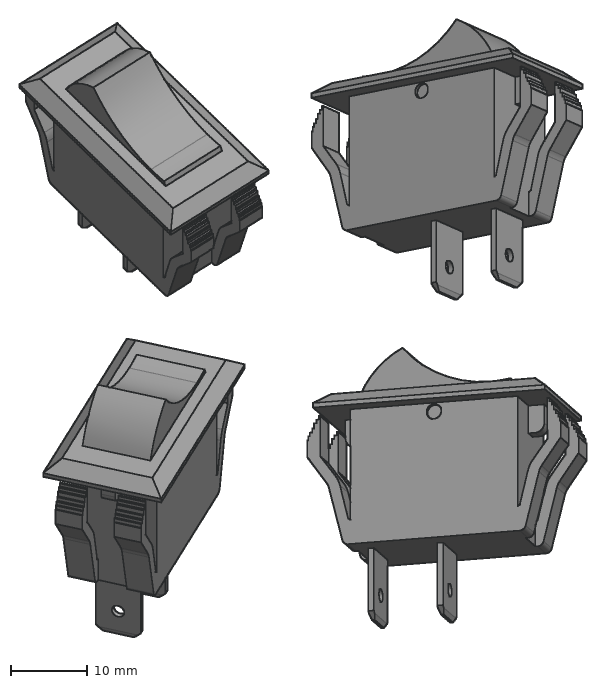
import cadquery as cq

total_height = 36.0
peak_z = 8.17
overlap = 0.35

bezel_length = 31.8
bezel_depth = 16.52
bezel_height = 2.2
bezel_lip = 0.6
bezel_inset = 1.95

housing_length = 22.93
housing_depth = 12.0
housing_height = 18.32
pivot_diameter = 2.0
pivot_z = -1.2
pivot_recess = 0.5

ear_span = 27.25
ear_width = 1.98
ear_height = 3.75
ear_radius = 1.22

rocker_width = 9.5
rocker_half_length = 10.47
peak_x = -4.68
valley_x = 7.3
valley_z = 2.65
rocker_tip = (10.1, 2.88)
back_radius = 12.25

clip_span = 34.73
clip_width = 3.78
grip_thickness = 1.8
grip_bottom_z = -6.1
outer_bend = (14.5, -10.08)
inner_bend = (13.05, -9.5)
outer_foot = (12.4, -housing_height)
foot_radius = 0.83
inner_root = (11.77, -14.8)
inner_root_wall_z = -14.97
outer_bend_radius = 2.25
inner_bend_radius = 3.8
lowest_tooth_z = -3.78
grip_teeth = [(0.125, 0.58), (0.2, 0.45), (0.32, 0.55), (0.25, 0.7), (0.32, 0.45), (0.32, 0.45)]

blade_positions = (-9.45, 0.0)
blade_thickness = 0.8
blade_width = 6.3
blade_corner = 1.0
blade_bevel_height = 0.72
blade_bevel_inset = 0.2
blade_hole_diameter = 1.73
blade_hole_z = -23.97


def box_between(length, depth, z_low, z_high):
    """Box centred on X and Y between two heights."""
    return (
        cq.Workplane("XY", origin=(0, 0, z_low))
        .rect(length, depth)
        .extrude(z_high - z_low)
    )


def make_bezel():
    lip = box_between(bezel_length, bezel_depth, 0, bezel_lip)
    bevel = (
        cq.Workplane("XY", origin=(0, 0, bezel_lip))
        .rect(bezel_length, bezel_depth)
        .workplane(offset=bezel_height - bezel_lip)
        .rect(bezel_length - 2 * bezel_inset, bezel_depth - 2 * bezel_inset)
        .loft(ruled=True)
    )
    return lip.union(bevel)


def make_housing():
    housing = box_between(housing_length, housing_depth, -housing_height, overlap)
    front_recess = (
        cq.Workplane("XZ", origin=(0, -housing_depth / 2, pivot_z))
        .circle(pivot_diameter / 2)
        .extrude(-pivot_recess)
    )
    return housing.cut(front_recess).cut(front_recess.mirror("XZ"))


def make_ears():
    """One bar through the housing forms the ears at both ends."""
    bar = box_between(ear_span, ear_width, -ear_height, overlap)
    return bar.edges("|Y and <Z").fillet(ear_radius)


def make_rocker():
    """Rocker with a convex back and a thumb dish that is level at its valley."""
    dish_run = valley_x - peak_x
    dish_fall = peak_z - valley_z
    dish_radius = (dish_run**2 + dish_fall**2) / (2 * dish_fall)
    return (
        cq.Workplane("XZ")
        .moveTo(-rocker_half_length, bezel_height - overlap)
        .lineTo(-rocker_half_length, bezel_height)
        .radiusArc((peak_x, peak_z), back_radius)
        .radiusArc((valley_x, valley_z), -dish_radius)
        .tangentArcPoint(rocker_tip, relative=False)
        .lineTo(rocker_half_length, bezel_height)
        .lineTo(rocker_half_length, bezel_height - overlap)
        .close()
        .extrude(rocker_width / 2, both=True)
    )


def make_clip():
    """Springy clip on the +X side, centred on Y = 0."""
    wall_x = housing_length / 2
    outer_x = clip_span / 2
    inner_x = outer_x - grip_thickness
    profile = (
        cq.Workplane("XZ")
        .moveTo(wall_x - overlap, -housing_height)
        .lineTo(*outer_foot)
        .lineTo(*outer_bend)
        .lineTo(outer_x, grip_bottom_z)
    )
    x = outer_x
    z = lowest_tooth_z
    profile = profile.lineTo(x, z)
    for step, rise in grip_teeth:
        x -= step
        profile = profile.lineTo(x, z)
        z += rise
        profile = profile.lineTo(x, z)
    clip = (
        profile.lineTo(inner_x, z)
        .lineTo(inner_x, grip_bottom_z)
        .lineTo(*inner_bend)
        .lineTo(*inner_root)
        .lineTo(wall_x, inner_root_wall_z)
        .lineTo(wall_x - overlap, inner_root_wall_z)
        .close()
        .extrude(clip_width / 2, both=True)
    )
    rounded_corners = (
        (outer_foot, foot_radius),
        (outer_bend, outer_bend_radius),
        (inner_bend, inner_bend_radius),
    )
    for (corner_x, corner_z), radius in rounded_corners:
        corner_edge = cq.selectors.NearestToPointSelector((corner_x, 0, corner_z))
        clip = clip.edges("|Y").edges(corner_edge).fillet(radius)
    return clip


def make_blade():
    """Terminal blade centred on X = 0, with clipped corners and a bevelled tip."""
    tip_z = peak_z - total_height
    blade = box_between(blade_thickness, blade_width, tip_z, overlap - housing_height)
    blade = blade.edges("|X and <Z").chamfer(blade_corner)
    half = blade_thickness / 2
    bevels = (
        cq.Workplane("XZ")
        .moveTo(half, tip_z + blade_bevel_height)
        .lineTo(half, tip_z)
        .lineTo(half - blade_bevel_inset, tip_z)
        .close()
        .extrude(blade_width / 2, both=True)
    )
    hole = (
        cq.Workplane("YZ")
        .center(0, blade_hole_z)
        .circle(blade_hole_diameter / 2)
        .extrude(blade_thickness, both=True)
    )
    return blade.cut(bevels).cut(bevels.mirror("YZ")).cut(hole)


result = make_housing().union(make_bezel()).union(make_ears()).union(make_rocker())

clip = make_clip()
clip_y = (housing_depth - clip_width) / 2
for y in (-clip_y, clip_y):
    placed_clip = clip.translate((0, y, 0))
    result = result.union(placed_clip).union(placed_clip.mirror("YZ"))

blade = make_blade()
for x in blade_positions:
    result = result.union(blade.translate((x, 0, 0)))